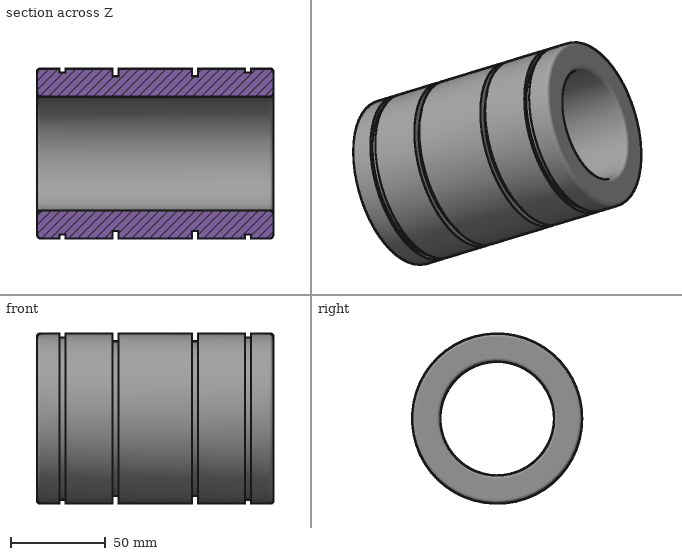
import cadquery as cq

length = 125.0
outer_diameter = 90.0
bore_diameter = 60.0
edge_radius = 2.0

groove_width = 3.1
end_groove_offset = 49.0
end_groove_diameter = 86.0
inner_groove_offset = 21.0
inner_groove_diameter = 82.0


def cylinder_along_x(start, width, diameter):
    """Solid cylinder on the X axis, beginning at X = start."""
    return cq.Workplane("YZ", origin=(start, 0, 0)).circle(diameter / 2).extrude(width)


def groove_ring(center, floor_diameter):
    """Material removed by one square groove centred at X = center."""
    start = center - groove_width / 2
    outside = cylinder_along_x(start, groove_width, outer_diameter)
    return outside.cut(cylinder_along_x(start, groove_width, floor_diameter))


sleeve = cylinder_along_x(-length / 2, length, outer_diameter)
sleeve = sleeve.cut(cylinder_along_x(-length / 2, length, bore_diameter))
sleeve = sleeve.faces("<X or >X").edges().fillet(edge_radius)

grooves = (
    (end_groove_offset, end_groove_diameter),
    (inner_groove_offset, inner_groove_diameter),
)
for offset, floor_diameter in grooves:
    for side in (-1, 1):
        sleeve = sleeve.cut(groove_ring(side * offset, floor_diameter))

result = sleeve